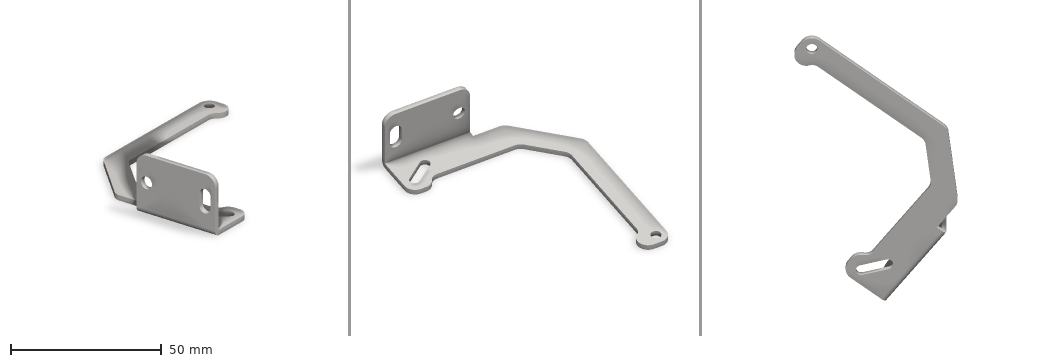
import cadquery as cq
import math

length_x = 64.0
length_y = 82.0
flange_height = 21.9
thickness = 2.0

arm_width = 8.0
bar_bottom = 4.1
bar_width = 11.0
bar_top = bar_bottom + bar_width
link_rise = 19.9
bend_radius = 4.0

head_radius = 4.0
arm_head_width = 11.0
bar_head_width = 9.8
neck_radius = 3.0

flange_width = 32.5
flange_left = length_x - flange_width
flange_corner_radius = 4.0
inner_fold_radius = 0.2
outer_fold_radius = inner_fold_radius + thickness
hole_level = 12.0
hole_inset = 4.2
flange_hole_diameter = 4.5
flange_slot_length = 8.9

plate_hole_diameter = 3.7
plate_slot_start = (length_x - 11.6, 8.45)
plate_slot_end = (length_x - 4.5, 13.9)


def plate():
    """Flat outline, traced counterclockwise from beside the flange."""
    inner_shift = arm_width * math.sqrt(2)
    outer_level = bar_bottom + link_rise
    inner_level = outer_level + inner_shift

    arm_head_y = length_y - head_radius
    arm_head_x = arm_head_width - head_radius
    blend_reach = head_radius + neck_radius
    arm_blend_x = arm_width + neck_radius
    arm_blend_y = arm_head_y - math.sqrt(blend_reach**2 - (arm_blend_x - arm_head_x) ** 2)
    contact = head_radius / blend_reach
    arm_contact = (
        arm_head_x + contact * (arm_blend_x - arm_head_x),
        arm_head_y + contact * (arm_blend_y - arm_head_y),
    )

    bar_head_y = bar_top
    bar_head_x = length_x - bar_head_width + head_radius
    bar_blend_x = bar_head_x - math.sqrt(blend_reach**2 - neck_radius**2)
    bar_contact = (
        bar_head_x + contact * (bar_blend_x - bar_head_x),
        bar_head_y + contact * neck_radius,
    )

    outline = (
        cq.Workplane("XY")
        .moveTo(flange_left, bar_bottom)
        .lineTo(flange_left, thickness)
        .lineTo(length_x, thickness)
        .lineTo(length_x, bar_head_y)
        .radiusArc((length_x - head_radius, bar_head_y + head_radius), -head_radius)
        .lineTo(bar_head_x, bar_head_y + head_radius)
        .radiusArc(bar_contact, -head_radius)
        .radiusArc((bar_blend_x, bar_top), neck_radius)
        .lineTo(inner_level - bar_top, bar_top)
        .lineTo(arm_width, inner_level - arm_width)
        .lineTo(arm_width, arm_blend_y)
        .radiusArc(arm_contact, neck_radius)
        .radiusArc((arm_head_width, arm_head_y), -head_radius)
        .radiusArc((arm_head_x, length_y), -head_radius)
        .lineTo(head_radius, length_y)
        .radiusArc((0, arm_head_y), -head_radius)
        .lineTo(0, outer_level)
        .lineTo(link_rise, bar_bottom)
        .close()
    )
    link_corners = [
        (0, outer_level),
        (link_rise, bar_bottom),
        (inner_level - bar_top, bar_top),
        (arm_width, inner_level - arm_width),
    ]
    body = outline.extrude(thickness)
    for x, y in link_corners:
        corner = cq.selectors.NearestToPointSelector((x, y, thickness / 2))
        body = body.edges("|Z").edges(corner).fillet(bend_radius)
    return body


def flange():
    """Upright sheet with rounded upper corners."""
    sheet = (
        cq.Workplane("XY")
        .box(flange_width, thickness, flange_height, centered=False)
        .translate((flange_left, 0, 0))
    )
    return sheet.edges("|Y and >Z").fillet(flange_corner_radius)


def round_fold(body):
    """Round the fold between plate and flange with concentric radii."""
    middle_x = flange_left + flange_width / 2
    inner_edge = cq.selectors.NearestToPointSelector((middle_x, thickness, thickness))
    outer_edge = cq.selectors.NearestToPointSelector((middle_x, 0, 0))
    body = body.edges("|X").edges(inner_edge).fillet(inner_fold_radius)
    return body.edges("|X").edges(outer_edge).fillet(outer_fold_radius)


def plate_openings():
    """Round hole in the arm head and slanted slot in the bar head."""
    hole = (
        cq.Workplane("XY")
        .center(head_radius, length_y - head_radius)
        .circle(plate_hole_diameter / 2)
        .extrude(thickness)
    )
    run = plate_slot_end[0] - plate_slot_start[0]
    rise = plate_slot_end[1] - plate_slot_start[1]
    slot = (
        cq.Workplane("XY")
        .center(plate_slot_start[0] + run / 2, plate_slot_start[1] + rise / 2)
        .slot2D(
            math.hypot(run, rise) + plate_hole_diameter,
            plate_hole_diameter,
            math.degrees(math.atan2(rise, run)),
        )
        .extrude(thickness)
    )
    return hole.union(slot)


def flange_openings():
    """Round hole and upright slot through the flange."""
    face = cq.Workplane("XZ")
    hole = (
        face.center(flange_left + hole_inset, hole_level)
        .circle(flange_hole_diameter / 2)
        .extrude(-thickness)
    )
    slot = (
        face.center(length_x - hole_inset, hole_level)
        .slot2D(flange_slot_length, flange_hole_diameter, 90)
        .extrude(-thickness)
    )
    return hole.union(slot)


bracket = round_fold(plate().union(flange()))
result = bracket.cut(plate_openings()).cut(flange_openings())